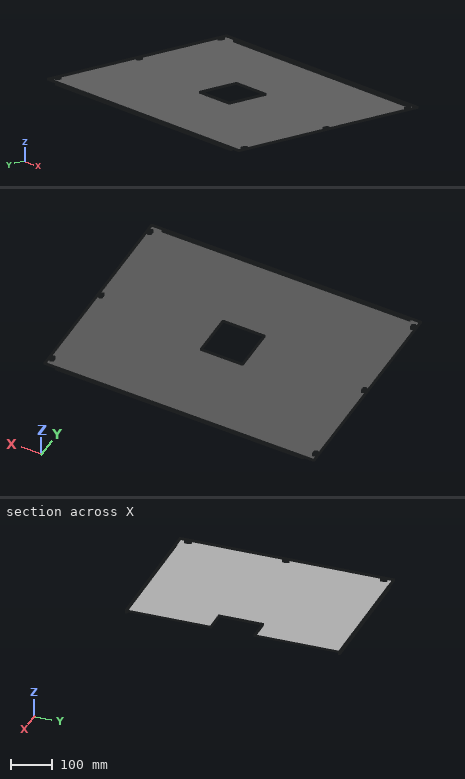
import cadquery as cq

panel_length = 730.0
panel_width = 549.0
panel_height = 6.5
sheet_thickness = 1.5

flange_length = 670.0

window_side = 112.5

slot_length = 14.0
slot_width = 6.5
slot_end_inset = 9.0
slot_pitch = 251.0
slots_per_side = 3


def make_sheet():
    """Flat sheet with its underside on the XY plane."""
    return cq.Workplane("XY").box(
        panel_length, panel_width, sheet_thickness, centered=(True, True, False)
    )


def make_flanges():
    """Two thin lips, flush with the long edges and joined to the sheet."""
    flange_offset = (panel_width - sheet_thickness) / 2
    return (
        cq.Workplane("XY")
        .workplane(offset=sheet_thickness)
        .pushPoints([(0, -flange_offset), (0, flange_offset)])
        .rect(flange_length, sheet_thickness)
        .extrude(-panel_height)
    )


def cut_window(panel):
    """Square through opening centred on the panel."""
    window = cq.Workplane("XY").rect(window_side, window_side).extrude(sheet_thickness)
    return panel.cut(window)


def cut_mounting_slots(panel):
    """Round-ended through slots, parallel to the short edges."""
    slot_column_spacing = panel_length - 2 * slot_end_inset
    slots = (
        cq.Workplane("XY")
        .rarray(slot_column_spacing, slot_pitch, 2, slots_per_side)
        .slot2D(slot_length, slot_width, 90)
        .extrude(sheet_thickness)
    )
    return panel.cut(slots)


panel = make_sheet().union(make_flanges())
panel = cut_window(panel)
result = cut_mounting_slots(panel)